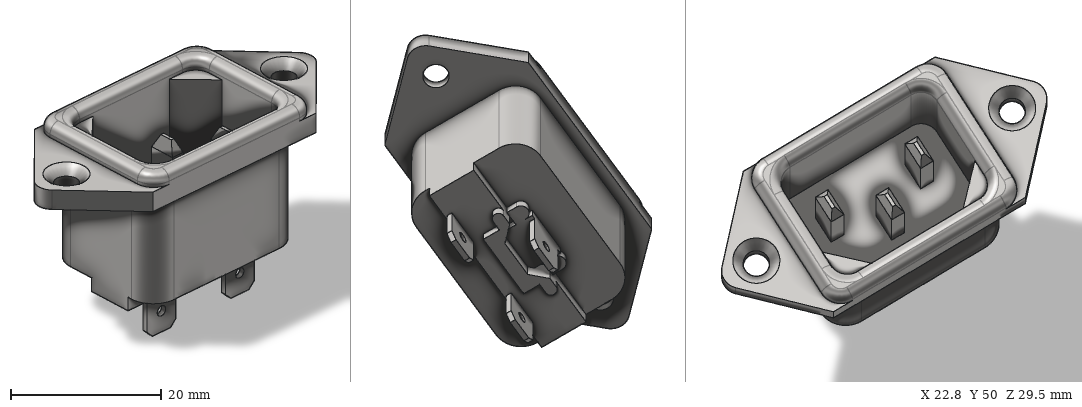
import cadquery as cq
import math


overall_length = 50.05
flange_width = 22.8
flange_thickness = 3.0
flange_side_length = 30.0
flange_tip_radius = 2.5
mount_hole_offset = 20.0
mount_hole_diameter = 3.5
countersink_diameter = 6.25
countersink_angle = 90.0

rim_top = 5.0
rim_corner_radius = 3.0
rim_round = 1.5

cavity_width = 17.0
cavity_length = 23.95
cavity_corner_radius = 2.5
cavity_depth = 17.0
key_leg = 4.95
cavity_floor = rim_top - cavity_depth

housing_width = 19.7
housing_length = 27.3
housing_corner_radius = 4.0
housing_bottom = -16.4

contact_spacing = 7.0
blade_width = 4.0
blade_thickness = 2.0
blade_tip_z = 0.0
blade_taper_height = 2.0
blade_tip_width = 2.0
blade_tip_thickness = 0.5
ground_blade_x = -1.5
line_blade_x = 2.5

tab_thickness = 0.8
tab_bottom = -24.5
tab_chamfer = 1.0
tab_hole_diameter = 1.5
tab_hole_z = -21.25
tab_spacing = 7.2
ground_tab_x = -4.05
ground_tab_width = 5.6
line_tab_x = 4.5
line_tab_width = 5.3

rib_min_x = -1.85
rib_max_x = 5.2
rib_bottom = -18.5
step_bottom = -20.0
step_max_x = 2.35
step_arm_thickness = 1.65
step_arm_half_length = tab_spacing
recess_mouth_half = 4.9
recess_floor_half = 2.75
recess_floor_x = rib_min_x + recess_mouth_half - recess_floor_half

holder_bottom = -17.85
holder_half_width = 3.4
holder_post_radius = 1.1


def box_between(x_min, x_max, y_min, y_max, z_min, z_max):
    """Axis-aligned box given by its limits."""
    size = (x_max - x_min, y_max - y_min, z_max - z_min)
    return cq.Workplane("XY").box(*size, centered=False).translate((x_min, y_min, z_min))


def rounded_block(width, length, corner_radius, z_min, z_max):
    """Centred block with rounded vertical edges."""
    block = cq.Workplane("XY").workplane(offset=z_min).rect(width, length).extrude(z_max - z_min)
    return block.edges("|Z").fillet(corner_radius)


def make_flange():
    """Hexagonal plate whose two end tips are rounded tangentially."""
    half_width = flange_width / 2
    half_side = flange_side_length / 2
    tip_y = overall_length / 2
    arc_y = tip_y - flange_tip_radius
    corner_distance = math.hypot(half_width, arc_y - half_side)
    corner_angle = math.atan2(arc_y - half_side, half_width)
    tangent_angle = math.acos(flange_tip_radius / corner_distance) - corner_angle
    tangent_x = flange_tip_radius * math.cos(tangent_angle)
    tangent_y = arc_y + flange_tip_radius * math.sin(tangent_angle)
    plate = (
        cq.Workplane("XY")
        .moveTo(half_width, -half_side)
        .lineTo(half_width, half_side)
        .lineTo(tangent_x, tangent_y)
        .threePointArc((0, tip_y), (-tangent_x, tangent_y))
        .lineTo(-half_width, half_side)
        .lineTo(-half_width, -half_side)
        .lineTo(-tangent_x, -tangent_y)
        .threePointArc((0, -tip_y), (tangent_x, -tangent_y))
        .close()
        .extrude(flange_thickness)
    )
    return (
        plate.faces(">Z").workplane(origin=(0, 0, 0))
        .pushPoints([(0, mount_hole_offset), (0, -mount_hole_offset)])
        .cskHole(mount_hole_diameter, countersink_diameter, countersink_angle)
    )


def make_rim():
    """Rim with its outer top edge rounded."""
    rim = rounded_block(flange_width, flange_side_length, rim_corner_radius, 0, rim_top)
    return rim.faces(">Z").edges().fillet(rim_round)


def make_shell_envelope():
    """Oversize block holding the cavity with its rounded mouth.

    The shell is trimmed with this block, so the inner and outer rim rounds may meet in a crease.
    """
    block = box_between(
        -flange_width, flange_width, -overall_length, overall_length, housing_bottom, rim_top
    )
    cavity = rounded_block(cavity_width, cavity_length, cavity_corner_radius, cavity_floor, rim_top)
    mouth_edges = cq.selectors.BoxSelector(
        (-cavity_width, -cavity_length, rim_top - rim_round),
        (cavity_width, cavity_length, rim_top + rim_round),
    )
    return block.cut(cavity).edges(mouth_edges).fillet(rim_round)


def make_corner_key(side):
    """Triangular filler in one -X corner of the cavity; its top is level with the flange."""
    corner_x = -cavity_width / 2
    corner_y = side * cavity_length / 2
    outline = [
        (corner_x, corner_y),
        (corner_x + key_leg, corner_y),
        (corner_x, corner_y - side * key_leg),
    ]
    return (
        cq.Workplane("XY").workplane(offset=cavity_floor)
        .polyline(outline)
        .close()
        .extrude(flange_thickness - cavity_floor)
    )


def make_rib():
    """Rib, its lower step with round-ended arms, and the tapered recess cut into both."""
    half_length = housing_length / 2
    rib = box_between(rib_min_x, rib_max_x, -half_length, half_length, rib_bottom, housing_bottom)
    arm_radius = step_arm_thickness / 2
    arms = (
        cq.Workplane("XY").workplane(offset=step_bottom)
        .center(rib_min_x + arm_radius, 0)
        .slot2D(2 * step_arm_half_length, step_arm_thickness, 90)
        .extrude(rib_bottom - step_bottom)
    )
    step = box_between(
        rib_min_x + arm_radius, step_max_x, -recess_mouth_half, recess_mouth_half, step_bottom, rib_bottom
    )
    recess = (
        cq.Workplane("XY").workplane(offset=step_bottom)
        .polyline([
            (rib_min_x, -recess_mouth_half),
            (recess_floor_x, -recess_floor_half),
            (recess_floor_x, recess_floor_half),
            (rib_min_x, recess_mouth_half),
        ])
        .close()
        .extrude(housing_bottom - step_bottom)
    )
    return rib.union(arms).union(step).cut(recess)


def make_ground_holder():
    """Block flush with the ground tab, flanked by two posts rounded on their -X side."""
    front_x = ground_tab_x - tab_thickness / 2
    holder = box_between(
        front_x, recess_floor_x, -holder_half_width, holder_half_width, holder_bottom, housing_bottom
    )
    post_x = front_x + holder_post_radius
    for side in (-1, 1):
        post_y = side * (holder_half_width + holder_post_radius)
        post = (
            cq.Workplane("XY").workplane(offset=holder_bottom)
            .center(post_x, post_y)
            .circle(holder_post_radius)
            .extrude(housing_bottom - holder_bottom)
        )
        post_back = box_between(
            post_x, rib_min_x, post_y - holder_post_radius, post_y + holder_post_radius,
            holder_bottom, housing_bottom,
        )
        holder = holder.union(post).union(post_back)
    return holder


def make_blade(x, y):
    """Contact blade standing on the cavity floor, tapered at its tip."""
    shoulder = blade_tip_z - blade_taper_height
    shank = (
        cq.Workplane("XY").workplane(offset=cavity_floor)
        .rect(blade_width, blade_thickness)
        .extrude(shoulder - cavity_floor)
    )
    tip = (
        cq.Workplane("XY").workplane(offset=shoulder).rect(blade_width, blade_thickness)
        .workplane(offset=blade_taper_height).rect(blade_tip_width, blade_tip_thickness)
        .loft()
    )
    return shank.union(tip).translate((x, y, 0))


def make_tab(x, y, width):
    """Flat solder tab below the housing with chamfered lower corners and an eyelet."""
    tab = box_between(-tab_thickness / 2, tab_thickness / 2, -width / 2, width / 2, tab_bottom, housing_bottom)
    tab = tab.faces("<Z").edges("|X").chamfer(tab_chamfer)
    eyelet = (
        cq.Workplane("YZ").center(0, tab_hole_z).circle(tab_hole_diameter / 2)
        .extrude(tab_thickness, both=True)
    )
    return tab.cut(eyelet).translate((x, y, 0))


result = make_flange().union(make_rim())
result = result.union(rounded_block(housing_width, housing_length, housing_corner_radius, housing_bottom, 0))
result = result.intersect(make_shell_envelope())
for key_side in (-1, 1):
    result = result.union(make_corner_key(key_side))

result = result.union(make_rib()).union(make_ground_holder())

result = result.union(make_blade(ground_blade_x, 0))
result = result.union(make_tab(ground_tab_x, 0, ground_tab_width))
for contact_side in (-1, 1):
    result = result.union(make_blade(line_blade_x, contact_side * contact_spacing))
    result = result.union(make_tab(line_tab_x, contact_side * tab_spacing, line_tab_width))